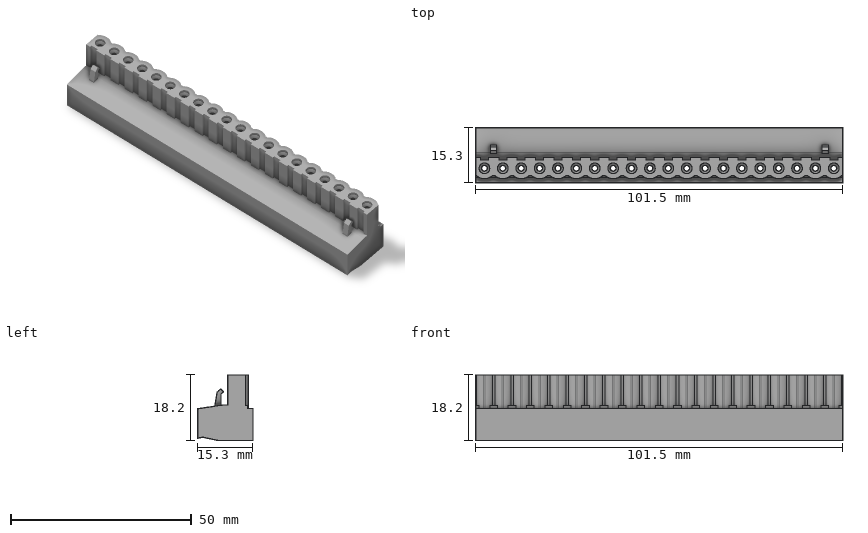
import cadquery as cq
import math

length = 101.5
depth = 15.3
height = 18.2

pole_count = 20
first_pole_x = 2.4
last_pole_end_gap = 2.5
last_pole_x = length - last_pole_end_gap
pole_pitch = (last_pole_x - first_pole_x) / (pole_count - 1)
pole_y = 4.1
pole_centres = [first_pole_x + i * pole_pitch for i in range(pole_count)]

front_shelf_z = 8.9
rear_shelf_z = 9.8
slope_start_y = 8.4
rear_top_z = 8.8
underside_rise_y = 9.6
underside_notch_y = 13.9
underside_notch_z = 0.9
rear_bottom_z = 0.6

tower_rear_y = 7.0
valley_y = 2.0
lobe_radius = 2.8
lobe_nose_width = 0.4
recess_width = 2.2
recess_depth = 0.6

foot_front_y = 1.5
foot_top_z = 9.7

mouth_diameter = 2.9
mouth_depth = 0.8
cone_depth = 0.5
bore_diameter = 1.5

latch_width = 1.7
latch_end_gap = 4.1
latch_front_y = 8.8
latch_root_rear_y = 10.6
latch_shoulder_y = 9.9
latch_shoulder_z = 13.4
latch_top_y = 8.9
latch_top_z = 14.3
latch_tip_y = 8.1
latch_tip_z = 13.5
latch_catch_z = 12.9
latch_embed = 1.0


def extrude_along_x(points, start_x, width):
    """Extrude a closed (y, z) outline from start_x towards +X."""
    return cq.Workplane("YZ", origin=(start_x, 0, 0)).polyline(points).close().extrude(width)


def make_base():
    outline = [
        (0, 0),
        (underside_rise_y, 0),
        (underside_notch_y, underside_notch_z),
        (depth, rear_bottom_z),
        (depth, rear_top_z),
        (slope_start_y, rear_shelf_z),
        (tower_rear_y, rear_shelf_z),
        (tower_rear_y, front_shelf_z),
        (0, front_shelf_z),
    ]
    return extrude_along_x(outline, 0, length)


def make_tower():
    """Wall along the poles with a flat-nosed, round-shouldered lobe in front of each pole."""
    half_nose = lobe_nose_width / 2
    nose_y = pole_y - lobe_radius
    valley_angle = math.asin((pole_y - valley_y) / lobe_radius)
    middle_angle = (valley_angle + math.pi / 2) / 2
    half_lobe = half_nose + lobe_radius * math.cos(valley_angle)
    middle_offset = half_nose + lobe_radius * math.cos(middle_angle)
    middle_y = pole_y - lobe_radius * math.sin(middle_angle)

    outline = cq.Workplane("XY", origin=(0, 0, front_shelf_z))
    outline = outline.moveTo(0, tower_rear_y).lineTo(0, valley_y)
    for x in pole_centres:
        outline = (
            outline.lineTo(x - half_lobe, valley_y)
            .threePointArc((x - middle_offset, middle_y), (x - half_nose, nose_y))
            .lineTo(x + half_nose, nose_y)
            .threePointArc((x + middle_offset, middle_y), (x + half_lobe, valley_y))
        )
    outline = outline.lineTo(length, valley_y).lineTo(length, tower_rear_y).close()
    return outline.extrude(height - front_shelf_z)


def make_feet():
    """Low block filling the foot of the valleys between lobes."""
    outline = [
        (foot_front_y, front_shelf_z),
        (pole_y, front_shelf_z),
        (pole_y, foot_top_z),
        (foot_front_y, foot_top_z),
    ]
    return extrude_along_x(outline, 0, length)


def make_recesses():
    """Shallow vertical grooves in the rear of the tower, one behind each pole."""
    groove_height = height - rear_shelf_z
    centre_points = [(x, tower_rear_y) for x in pole_centres]
    plane = cq.Workplane("XY", origin=(0, 0, rear_shelf_z))
    return plane.pushPoints(centre_points).rect(recess_width, 2 * recess_depth).extrude(groove_height)


def make_screw_hole(x):
    mouth_radius = mouth_diameter / 2
    bore_radius = bore_diameter / 2
    cone_top_z = height - mouth_depth
    half_section = [
        (0, 0),
        (bore_radius, 0),
        (bore_radius, cone_top_z - cone_depth),
        (mouth_radius, cone_top_z),
        (mouth_radius, height),
        (0, height),
    ]
    plane = cq.Workplane("XZ", origin=(x, pole_y, 0))
    return plane.polyline(half_section).close().revolve(360, (0, 0), (0, 1))


def make_latch(start_x):
    root_z = rear_shelf_z - latch_embed
    outline = [
        (latch_front_y, root_z),
        (latch_root_rear_y, root_z),
        (latch_root_rear_y, rear_shelf_z),
        (latch_shoulder_y, latch_shoulder_z),
        (latch_top_y, latch_top_z),
        (latch_tip_y, latch_tip_z),
        (latch_front_y, latch_catch_z),
    ]
    return extrude_along_x(outline, start_x, latch_width)


result = make_base().union(make_tower()).union(make_feet()).cut(make_recesses())
for pole_x in pole_centres:
    result = result.cut(make_screw_hole(pole_x))
for latch_x in (latch_end_gap, length - latch_end_gap - latch_width):
    result = result.union(make_latch(latch_x))